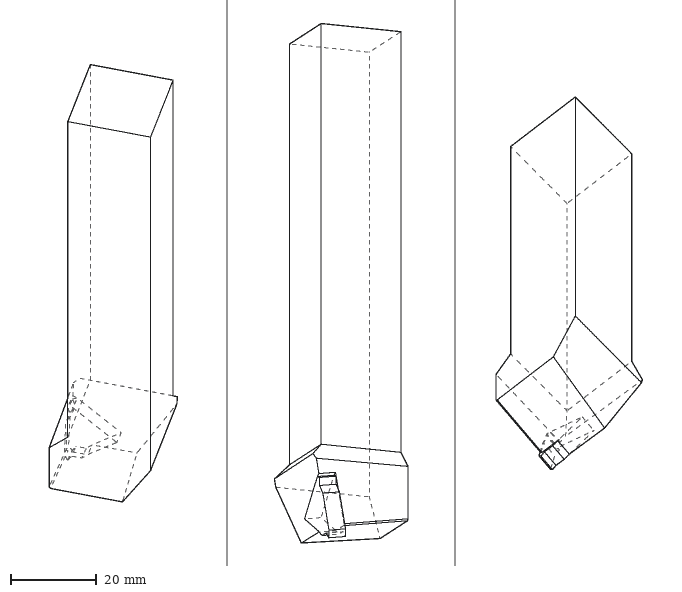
import cadquery as cq
import math

SHANK_SIDE = 20.0
TOTAL_HEIGHT = 125.3

SHOULDER_TOP = 23.7
HEAD_OVERHANG = 7.5
LEFT_FACE_OFFSET = 4.5
RELIEF_START = 17.9
RELIEF_ANGLE = 30.0
FRONT_HEEL = 6.1

EDGE_BEVEL = 0.4

RAKE_ANGLE = 10.0
YAW_ANGLE = 1.0
TRIM = 75.2

TIP_X = -4.4
TIP_Y = 19.9
INSERT_THICKNESS = 4.3

INSERT_OUTLINE = [
    (0.0, 0.0),
    (0.9, 1.4),
    (3.4, 1.4),
    (5.3, 3.0),
    (11.5, 7.4),
    (0.6, 14.9),
    (-0.5, 14.4),
    (0.3, 12.7),
    (-0.9, 10.5),
    (-0.9, 1.6),
]

TIP_CLEARANCE = [(0.6, 14.9), (-2.5, 16.2), (-2.5, 10.5), (-0.9, 10.5), (0.3, 12.7)]

rake = math.radians(RAKE_ANGLE)
yaw = math.radians(YAW_ANGLE)
rake_plane = cq.Plane(
    origin=(TIP_X, TIP_Y, 0),
    xDir=(math.cos(yaw), math.sin(yaw), 0),
    normal=(math.sin(yaw) * math.cos(rake), -math.cos(yaw) * math.cos(rake), math.sin(rake)),
)


def rake_prism(outline):
    """Prism running from the rake face into the head by the insert thickness."""
    return cq.Workplane(rake_plane).polyline(outline).close().extrude(INSERT_THICKNESS)


def make_blank():
    """Shank and untrimmed head: the common volume of a front and a side outline."""
    depth = SHANK_SIDE + HEAD_OVERHANG
    shoulder_end = SHOULDER_TOP - HEAD_OVERHANG
    relief_width = RELIEF_START * math.tan(math.radians(RELIEF_ANGLE))
    front_outline = (
        cq.Workplane("XZ")
        .moveTo(0, TOTAL_HEIGHT)
        .lineTo(SHANK_SIDE, TOTAL_HEIGHT)
        .lineTo(SHANK_SIDE, RELIEF_START)
        .lineTo(SHANK_SIDE - relief_width, 0)
        .lineTo(-HEAD_OVERHANG, 0)
        .lineTo(-HEAD_OVERHANG, shoulder_end)
        .lineTo(0, SHOULDER_TOP)
        .close()
        .extrude(-depth)
    )
    side_outline = (
        cq.Workplane("YZ")
        .moveTo(0, TOTAL_HEIGHT)
        .lineTo(SHANK_SIDE, TOTAL_HEIGHT)
        .lineTo(SHANK_SIDE, SHOULDER_TOP)
        .lineTo(depth, shoulder_end)
        .lineTo(depth, FRONT_HEEL - depth * math.tan(rake))
        .lineTo(0, FRONT_HEEL)
        .close()
        .extrude(TRIM, both=True)
    )
    return front_outline.intersect(side_outline)


def trim_head(blank):
    """Cut the leaning rake face and the slightly turned left face."""
    reach = SHOULDER_TOP / math.cos(rake)
    behind_rake = (
        cq.Workplane(rake_plane)
        .rect(TRIM, 2 * reach)
        .extrude(-TRIM)
    )
    beyond_left = (
        cq.Workplane("XY")
        .box(TRIM, TRIM, SHOULDER_TOP, centered=(False, True, False))
        .translate((-TRIM, 0, 0))
        .rotate((0, 0, 0), (0, 0, 1), YAW_ANGLE)
        .translate((-LEFT_FACE_OFFSET, 0, 0))
    )
    return blank.cut(behind_rake).cut(beyond_left)


def bevel_lower_left_edge(head):
    """Bevel the edge where the left face meets the sloping head bottom."""
    mid_depth = SHANK_SIDE / 2
    mid_height = FRONT_HEEL - mid_depth * math.tan(rake)
    edge_point = (-LEFT_FACE_OFFSET, mid_depth, mid_height)
    return head.edges(cq.selectors.NearestToPointSelector(edge_point)).chamfer(EDGE_BEVEL)


insert = rake_prism(INSERT_OUTLINE)

holder = bevel_lower_left_edge(trim_head(make_blank()))
holder = holder.cut(insert).cut(rake_prism(TIP_CLEARANCE))

result = cq.Compound.makeCompound([holder.val(), insert.val()])